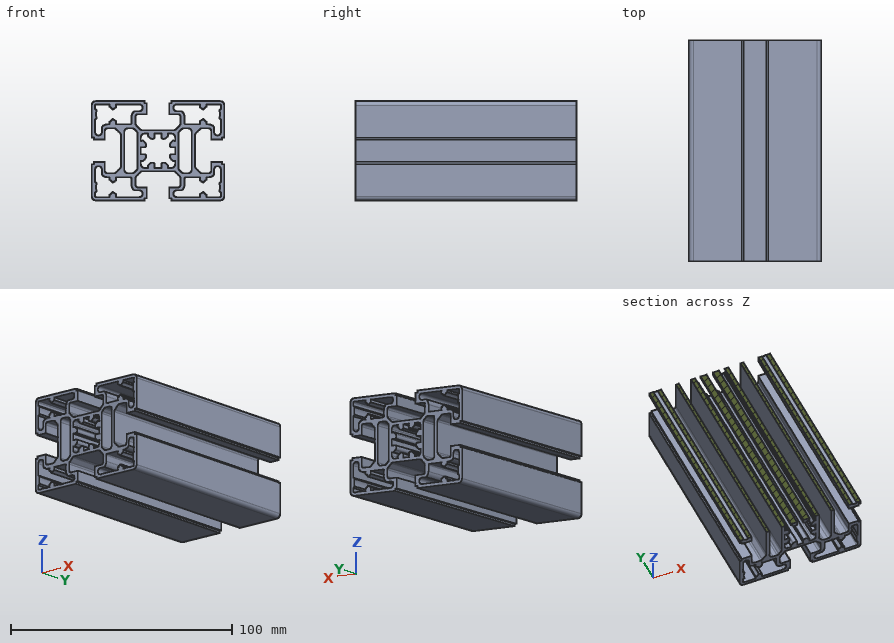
import cadquery as cq
import math

WIDTH = 60.0
HEIGHT = 45.0
LENGTH = 100.0
HALF_WIDTH = WIDTH / 2
HALF_HEIGHT = HEIGHT / 2
OUTER_RADIUS = 2.0

SKIN = 1.6
WEB = 1.9

SLOT_OPENING = 10.0
SLOT_CAVITY = 20.2
SLOT_DEPTH = 13.2
LIP_DEPTH = 6.0
LIP_STEP = 1.0
SLOT_MOUTH_RADIUS = 1.1
SLOT_FLOOR_CHAMFER = 2.5
BEVEL_RADIUS = 1.2

ARM_WIDTH = 3.0
ARM_END = 7.0
CHAMBER_CORNER_RADIUS = 0.5
BORE_INSET = 6.0
BORE_RADIUS = 4.0
TOOTH_START = 18.9
TOOTH_WIDTH = 3.1
TOOTH_TIP_OFFSET = 2.0
TOOTH_SHOULDER_OFFSET = 3.1
RIDGE_TIP_OFFSET = 1.7
RIDGE_FOOT_OFFSET = 2.4

CENTRE_RADIUS = 1.6
CENTRE_TOOTH_START = 1.5
CENTRE_TOOTH_RADIUS = 1.4
CENTRE_TOOTH_MIDDLE = 2.6
CENTRE_TOOTH_TIP = 5.3
CENTRE_TOOTH_BULGE = 4.7
CENTRE_TOOTH_FOOT = 4.5

SIDE_OUTER_RADIUS = 1.6
SIDE_INNER_CHAMFER = 1.8

CAVITY_EDGE = SLOT_CAVITY / 2
CHAMBER_EDGE = CAVITY_EDGE + WEB
TOP_FLOOR = HALF_HEIGHT - SLOT_DEPTH
SIDE_FLOOR = HALF_WIDTH - SLOT_DEPTH
CENTRE_HALF = TOP_FLOOR - SKIN
CHAMBER_RIGHT = HALF_WIDTH - SKIN
CHAMBER_TOP = HALF_HEIGHT - SKIN
BORE_X = HALF_WIDTH - BORE_INSET
BORE_Z = HALF_HEIGHT - BORE_INSET


def section():
    return cq.Workplane("XZ")


def along_profile(outline):
    return outline.extrude(LENGTH / 2, both=True)


def block(x_min, x_max, z_min, z_max):
    centre = section().center((x_min + x_max) / 2, (z_min + z_max) / 2)
    return along_profile(centre.rect(x_max - x_min, z_max - z_min))


def four_corners(body):
    pair = body.union(body.mirror("YZ"))
    return pair.union(pair.mirror("XY"))


def eased_bevels(body, side, size):
    """Chamfer the two corners on one side of a body along Y and round both ends of each bevel."""
    bevelled = body.edges(f"|Y and {side}").chamfer(size)
    rising = cq.selectors.ParallelDirSelector(cq.Vector(1, 0, 1))
    falling = cq.selectors.ParallelDirSelector(cq.Vector(1, 0, -1))
    return bevelled.faces(rising + falling).edges("|Y").fillet(BEVEL_RADIUS)


def top_slot(face):
    """T-slot that opens upward through a face at the given height, with stepped lip edges."""
    cavity = block(-CAVITY_EDGE, CAVITY_EDGE, face - SLOT_DEPTH, face - LIP_DEPTH)
    cavity = cavity.edges("|Y and >Z").fillet(SLOT_MOUTH_RADIUS)
    cavity = eased_bevels(cavity, "<Z", SLOT_FLOOR_CHAMFER)
    half_opening = SLOT_OPENING / 2
    half_step = half_opening + LIP_STEP
    opening = block(-half_opening, half_opening, face - LIP_DEPTH, face)
    step = block(-half_step, half_step, face - LIP_STEP, face)
    return cavity.union(opening).union(step)


def turned(body, angle):
    return body.rotate((0, 0, 0), (0, 1, 0), angle)


def corner_chamber():
    """Chamber in the +X +Z corner; its inner bends are concentric with the slot mouth fillets."""
    arm_radius = ARM_WIDTH / 2
    bend_radius = SLOT_MOUTH_RADIUS + WEB
    bend_inset = CAVITY_EDGE - SLOT_MOUTH_RADIUS
    top_bend_z = HALF_HEIGHT - LIP_DEPTH - SLOT_MOUTH_RADIUS
    side_bend_x = HALF_WIDTH - LIP_DEPTH - SLOT_MOUTH_RADIUS
    arm_z = CHAMBER_TOP - ARM_WIDTH
    arm_x = CHAMBER_RIGHT - ARM_WIDTH
    top_bend_end = bend_inset + math.sqrt(bend_radius**2 - (arm_z - top_bend_z) ** 2)
    side_bend_end = bend_inset + math.sqrt(bend_radius**2 - (arm_x - side_bend_x) ** 2)
    arm_start = ARM_END + arm_radius
    outline = (
        section()
        .moveTo(CHAMBER_EDGE, CHAMBER_EDGE)
        .lineTo(CHAMBER_EDGE, top_bend_z)
        .radiusArc((top_bend_end, arm_z), -bend_radius)
        .lineTo(arm_start, arm_z)
        .threePointArc((ARM_END, arm_z + arm_radius), (arm_start, CHAMBER_TOP))
        .lineTo(CHAMBER_RIGHT, CHAMBER_TOP)
        .lineTo(CHAMBER_RIGHT, arm_start)
        .threePointArc((arm_x + arm_radius, ARM_END), (arm_x, arm_start))
        .lineTo(arm_x, side_bend_end)
        .radiusArc((side_bend_x, CHAMBER_EDGE), -bend_radius)
        .close()
    )
    chamber = along_profile(outline)
    for corner in ((CHAMBER_RIGHT, 0, CHAMBER_TOP), (CHAMBER_EDGE, 0, CHAMBER_EDGE)):
        nearest = cq.selectors.NearestToPointSelector(corner)
        chamber = chamber.edges(nearest).fillet(CHAMBER_CORNER_RADIUS)
    return chamber


def on_bore(offset):
    """Distance from the bore centre line to the bore at a sideways offset."""
    return math.sqrt(BORE_RADIUS**2 - offset**2)


def corner_teeth():
    """Teeth above and below a corner screw bore and a ridge on the outer wall beside it."""
    tooth_end = TOOTH_START + TOOTH_WIDTH
    tip_x = BORE_X - on_bore(TOOTH_TIP_OFFSET)
    teeth = cq.Workplane()
    for side, wall_z in ((1, CHAMBER_TOP), (-1, CHAMBER_EDGE)):
        tip_z = BORE_Z + side * TOOTH_TIP_OFFSET
        shoulder_z = BORE_Z + side * TOOTH_SHOULDER_OFFSET
        outline = section().polyline([
            (TOOTH_START, shoulder_z),
            (tip_x, tip_z),
            (tooth_end, tip_z),
            (tooth_end, wall_z),
            (TOOTH_START, wall_z),
        ]).close()
        teeth = teeth.add(along_profile(outline))
    ridge_x = BORE_X + on_bore(RIDGE_TIP_OFFSET)
    ridge = along_profile(
        section().polyline([
            (CHAMBER_RIGHT, BORE_Z + RIDGE_FOOT_OFFSET),
            (ridge_x, BORE_Z + RIDGE_TIP_OFFSET),
            (ridge_x, BORE_Z - RIDGE_TIP_OFFSET),
            (CHAMBER_RIGHT, BORE_Z - RIDGE_FOOT_OFFSET),
        ]).close()
    )
    bore = along_profile(section().center(BORE_X, BORE_Z).circle(BORE_RADIUS))
    return teeth.add(ridge).combine().cut(bore)


def side_chamber():
    """Upright chamber on the +X side, between a side slot and the middle chamber."""
    chamber = block(TOP_FLOOR, SIDE_FLOOR - SKIN, -CAVITY_EDGE, CAVITY_EDGE)
    chamber = chamber.edges("|Y and >X").fillet(SIDE_OUTER_RADIUS)
    return eased_bevels(chamber, "<X", SIDE_INNER_CHAMFER)


def centre_tooth():
    """Tooth on the top wall: upright inner side, round tip, 45 degree outer flank, narrower foot."""
    tip_centre_z = CENTRE_TOOTH_TIP + CENTRE_TOOTH_RADIUS
    half_tip = CENTRE_TOOTH_MIDDLE - CENTRE_TOOTH_START
    side_drop = math.sqrt(CENTRE_TOOTH_RADIUS**2 - half_tip**2)
    diagonal = CENTRE_TOOTH_RADIUS * math.sqrt(0.5)
    flank_start = (CENTRE_TOOTH_MIDDLE + diagonal, tip_centre_z - diagonal)
    flank_rise = CENTRE_TOOTH_BULGE - flank_start[0]
    outline = (
        section()
        .moveTo(CENTRE_TOOTH_START, CENTRE_HALF)
        .lineTo(CENTRE_TOOTH_START, tip_centre_z - side_drop)
        .radiusArc(flank_start, -CENTRE_TOOTH_RADIUS)
        .lineTo(CENTRE_TOOTH_BULGE, flank_start[1] + flank_rise)
        .lineTo(CENTRE_TOOTH_FOOT, CENTRE_HALF)
        .close()
    )
    return along_profile(outline)


def centre_chamber():
    chamber = block(-CENTRE_HALF, CENTRE_HALF, -CENTRE_HALF, CENTRE_HALF)
    chamber = chamber.edges("|Y").fillet(CENTRE_RADIUS)
    tooth = centre_tooth()
    tooth_pair = tooth.union(tooth.mirror("YZ"))
    for angle in (0, 90, 180, 270):
        chamber = chamber.cut(turned(tooth_pair, angle))
    return chamber


profile = block(-HALF_WIDTH, HALF_WIDTH, -HALF_HEIGHT, HALF_HEIGHT).edges("|Y").fillet(OUTER_RADIUS)
for face_distance, angles in ((HALF_HEIGHT, (0, 180)), (HALF_WIDTH, (90, 270))):
    for angle in angles:
        profile = profile.cut(turned(top_slot(face_distance), angle))

profile = profile.cut(four_corners(corner_chamber().cut(corner_teeth())))
profile = profile.cut(side_chamber()).cut(side_chamber().mirror("YZ"))
result = profile.cut(centre_chamber())